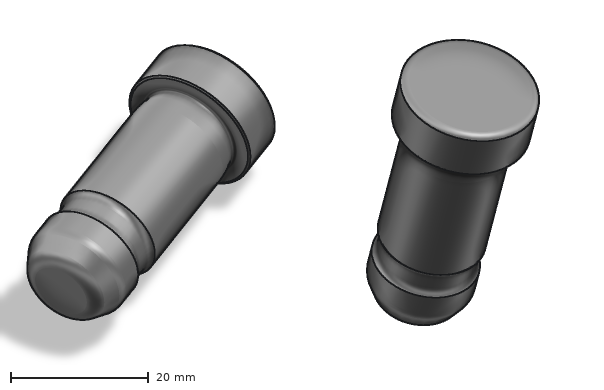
import cadquery as cq
import math

length = 44.0
head_radius = 10.25
shaft_radius = 8.0

head_length = 7.75
head_crown_height = 0.7
head_crown_width = 1.2
head_crown_bulge = 0.155
head_chamfer_width = 0.35
head_chamfer_height = 0.18

neck_radius = 7.55
neck_length = 0.18
neck_fillet = 0.5
lead_length = 3.3

groove_front = 8.45
groove_length = 4.7
groove_floor_length = 2.05
groove_radius = 7.4

nose_length = 4.95
nose_angle = math.radians(27)
nose_shoulder_round = 2.9
nose_tip_round = 2.4


def tangent_arc_middle(radius_change, axial_length):
    """Offsets of the middle of an arc from its tangent point on a straight cylinder."""
    arc_radius = (radius_change**2 + axial_length**2) / (2 * radius_change)
    half_angle = math.asin(axial_length / arc_radius) / 2
    return arc_radius * (1 - math.cos(half_angle)), arc_radius * math.sin(half_angle)


def add_nose(profile):
    """Tip face, tip round, cone and shoulder round, up to the front land."""
    shoulder_axial = nose_shoulder_round * math.sin(nose_angle)
    shoulder_radial = nose_shoulder_round * (1 - math.cos(nose_angle))
    tip_axial = nose_tip_round * (1 - math.sin(nose_angle))
    tip_radial = nose_tip_round * math.cos(nose_angle)
    cone_front_y = tip_axial
    cone_rear_y = nose_length - shoulder_axial
    cone_rear_radius = shaft_radius - shoulder_radial
    cone_front_radius = cone_rear_radius - (cone_rear_y - cone_front_y) * math.tan(nose_angle)
    tip_face_radius = cone_front_radius - tip_radial
    tip_middle_angle = (math.pi / 2 - nose_angle) / 2
    tip_middle = (
        tip_face_radius + nose_tip_round * math.sin(tip_middle_angle),
        nose_tip_round * (1 - math.cos(tip_middle_angle)),
    )
    shoulder_middle = (
        shaft_radius - nose_shoulder_round * (1 - math.cos(nose_angle / 2)),
        nose_length - nose_shoulder_round * math.sin(nose_angle / 2),
    )
    return (
        profile.lineTo(tip_face_radius, 0)
        .threePointArc(tip_middle, (cone_front_radius, cone_front_y))
        .lineTo(cone_rear_radius, cone_rear_y)
        .threePointArc(shoulder_middle, (shaft_radius, nose_length))
    )


def add_groove(profile):
    """Groove whose concave walls run tangentially into its floor."""
    wall_length = (groove_length - groove_floor_length) / 2
    middle_radial, middle_axial = tangent_arc_middle(shaft_radius - groove_radius, wall_length)
    groove_rear = groove_front + groove_length
    floor_front = groove_front + wall_length
    floor_rear = groove_rear - wall_length
    middle_radius = groove_radius + middle_radial
    return (
        profile.lineTo(shaft_radius, groove_front)
        .threePointArc((middle_radius, floor_front - middle_axial), (groove_radius, floor_front))
        .lineTo(groove_radius, floor_rear)
        .threePointArc((middle_radius, floor_rear + middle_axial), (shaft_radius, groove_rear))
    )


def add_neck(profile):
    """Crowned lead from the shaft to the neck, then a fillet into the head."""
    head_front = length - head_length
    neck_rear = head_front - neck_fillet
    neck_front = neck_rear - neck_length
    lead_front = neck_front - lead_length
    middle_radial, middle_axial = tangent_arc_middle(shaft_radius - neck_radius, lead_length)
    fillet_middle_offset = neck_fillet * (1 - math.sqrt(0.5))
    fillet_middle = (neck_radius + fillet_middle_offset, head_front - fillet_middle_offset)
    return (
        profile.lineTo(shaft_radius, lead_front)
        .threePointArc(
            (shaft_radius - middle_radial, lead_front + middle_axial),
            (neck_radius, neck_front),
        )
        .lineTo(neck_radius, neck_rear)
        .threePointArc(fillet_middle, (neck_radius + neck_fillet, head_front))
    )


def add_head(profile):
    """Head with a chamfered front edge and a shallow rounded rear edge."""
    head_front = length - head_length
    crown_front = length - head_crown_height
    crown_slope_length = math.hypot(head_crown_width, head_crown_height)
    crown_middle = (
        head_radius - head_crown_width / 2 + head_crown_bulge * head_crown_height / crown_slope_length,
        length - head_crown_height / 2 + head_crown_bulge * head_crown_width / crown_slope_length,
    )
    return (
        profile.lineTo(head_radius - head_chamfer_width, head_front)
        .lineTo(head_radius, head_front + head_chamfer_height)
        .lineTo(head_radius, crown_front)
        .threePointArc(crown_middle, (head_radius - head_crown_width, length))
        .lineTo(0, length)
    )


half_profile = cq.Workplane("XY").moveTo(0, 0)
for add_section in (add_nose, add_groove, add_neck, add_head):
    half_profile = add_section(half_profile)

result = half_profile.close().revolve(360, (0, 0, 0), (0, 1, 0))